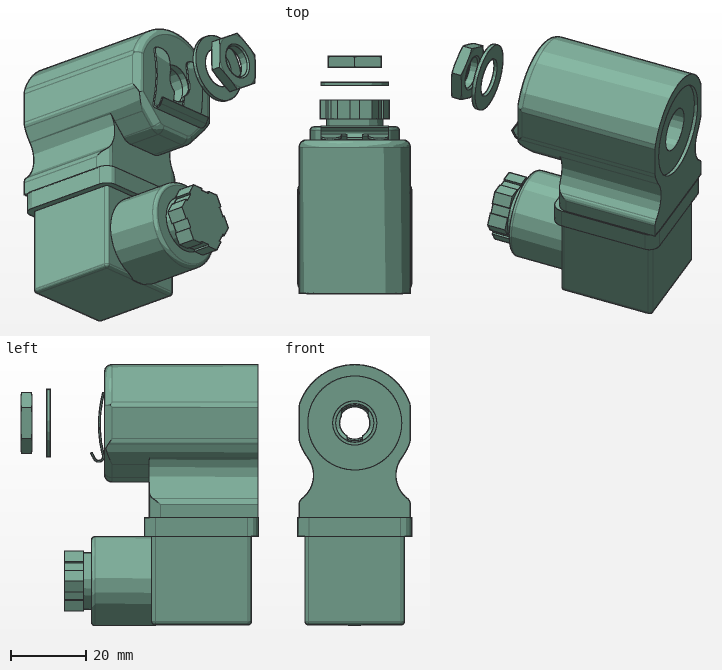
import cadquery as cq
import math


COIL_R = 15.55
BARREL_FLOOR_Z = -15.7
COIL_HALF_W = 14.8
COIL_FRONT_Y = 0.15
COIL_BACK_Y = 40.95
BARREL_CORNER_R = 4.0
BARREL_BACK_R = 2.0
RECESS_D = 25.0
RECESS_DEPTH = 1.0
BORE_D = 11.7
BORE_EXIT_D = 10.1
BORE_LIP = 2.0
NECK_BACK_Y = 29.1
WAIST_R = 7.8
WAIST_HALF_W = 10.95
NECK_CORNER_R = 2.0
NECK_BACK_R = 3.0
NECK_BOTTOM_Z = -25.1

FLANGE_W = 30.3
FLANGE_H = 5.0
FLANGE_CORNER_R = 3.0
BOX_W = 26.5
BOX_BOTTOM_Z = -53.65
BOX_EDGE_R = 1.0
OUTLET_R = 11.9
OUTLET_BACK_Y = 44.4
GLAND_NECK_D = 15.1
GLAND_FLATS = 15.95
GLAND_FRONT_Y = 46.5
GLAND_BACK_Y = 51.55
GLAND_GROOVE_W = 2.65
GLAND_GROOVE_DEPTH = 0.55

CLIP_W = 18.0
CLIP_T = 0.5
CLIP_TOP_Z = 8.05
CLIP_BOW_Z = -0.4
CLIP_BOW = 1.1
HOOK_R = 1.5
HOOK_TILT = 28.0
HOOK_END = 1.8
CLIP_HOLE_R = 3.99
CLIP_SLOT_W = 7.1
CLIP_NOTCH_W = 4.0
CLIP_NOTCH_Z = -9.4
CLIP_OUTER_R = 1.75
CLIP_INNER_R = 2.4

WASHER_D = 18.0
WASHER_HOLE_D = 10.3
WASHER_FRONT_Y = 55.3
WASHER_T = 1.0
NUT_FLATS = 14.1
NUT_H = 3.0
NUT_BACK_Y = 63.15
NUT_HOLE_D = 8.55
NUT_HOLE_MOUTH_D = 9.45
NUT_FACE_D = 14.6
NUT_CORNER_CHAMFER = 0.2

flange_bottom_z = NECK_BOTTOM_Z - FLANGE_H
connector_y = FLANGE_W / 2
outlet_z = flange_bottom_z - OUTLET_R


def profile_at(y):
    """Workplane with local x = X and local y = Z, set at the given y; negative extrusions go toward +Y."""
    return cq.Workplane(cq.Plane(origin=(0, y, 0), xDir=(1, 0, 0), normal=(0, -1, 0)))


def rod(diameter, y_start, y_end, z=0):
    """Cylinder along Y."""
    return profile_at(y_start).center(0, z).circle(diameter / 2).extrude(y_start - y_end)


def barrel_block():
    """Round on top, flat on the sides, underside and lower corners; its back edge is rounded."""
    side_z = math.sqrt(COIL_R**2 - COIL_HALF_W**2)
    corner_sum = COIL_R * math.sqrt(2)
    floor_x = corner_sum + BARREL_FLOOR_Z
    lower_z = COIL_HALF_W - corner_sum
    block = (
        profile_at(COIL_FRONT_Y)
        .moveTo(-COIL_HALF_W, side_z)
        .threePointArc((0, COIL_R), (COIL_HALF_W, side_z))
        .lineTo(COIL_HALF_W, lower_z)
        .lineTo(floor_x, BARREL_FLOOR_Z)
        .lineTo(-floor_x, BARREL_FLOOR_Z)
        .lineTo(-COIL_HALF_W, lower_z)
        .close()
        .extrude(COIL_FRONT_Y - COIL_BACK_Y)
    )
    floor_corners = block.faces("<Z").edges("|Y")
    return floor_corners.fillet(BARREL_CORNER_R).faces(">Y").edges().fillet(BARREL_BACK_R)


def barrel_envelope():
    """Cylinder with side flats rounded into it, left square where it clears the underside."""
    envelope = rod(2 * COIL_R, COIL_FRONT_Y, COIL_BACK_Y)
    length = COIL_BACK_Y - COIL_FRONT_Y
    slab = cq.Workplane("XY").box(2 * COIL_HALF_W, length, 4 * COIL_R)
    slab = slab.translate((0, COIL_FRONT_Y + length / 2, 0))
    envelope = envelope.intersect(slab)
    side_edges = envelope.edges("|Y").filter(lambda edge: abs(edge.Center().x) > COIL_HALF_W / 2)
    envelope = side_edges.fillet(BARREL_CORNER_R)
    tangent = COIL_R * math.sqrt(0.5)
    underside = slab.translate((0, 0, -tangent - 2 * COIL_R))
    return envelope.union(underside)


def coil_barrel():
    return barrel_block().intersect(barrel_envelope())


def coil_neck():
    """Foot under the barrel; its side hollows run tangent into the barrel."""
    hollow_x = WAIST_HALF_W + WAIST_R
    hollow_z = -math.sqrt((COIL_R + WAIST_R) ** 2 - hollow_x**2)
    tangent_x = hollow_x * COIL_R / (COIL_R + WAIST_R)
    tangent_z = hollow_z * COIL_R / (COIL_R + WAIST_R)
    corner_z = hollow_z - math.sqrt(WAIST_R**2 - (hollow_x - COIL_HALF_W) ** 2)
    neck = (
        profile_at(COIL_FRONT_Y)
        .moveTo(-tangent_x, tangent_z)
        .lineTo(tangent_x, tangent_z)
        .threePointArc((WAIST_HALF_W, hollow_z), (COIL_HALF_W, corner_z))
        .lineTo(COIL_HALF_W, NECK_BOTTOM_Z)
        .lineTo(-COIL_HALF_W, NECK_BOTTOM_Z)
        .lineTo(-COIL_HALF_W, corner_z)
        .threePointArc((-WAIST_HALF_W, hollow_z), (-tangent_x, tangent_z))
        .close()
        .extrude(COIL_FRONT_Y - NECK_BACK_Y)
    )
    side_corners = neck.edges("|Y").filter(
        lambda edge: abs(edge.Center().z - corner_z) < NECK_CORNER_R / 10
    )
    depth = NECK_BACK_Y - COIL_FRONT_Y
    envelope = cq.Workplane("XY", origin=(0, COIL_FRONT_Y + depth / 2, NECK_BOTTOM_Z))
    envelope = envelope.rect(2 * COIL_HALF_W, depth).extrude(-NECK_BOTTOM_Z)
    envelope = envelope.edges("|Z and >Y").fillet(NECK_BACK_R)
    return side_corners.fillet(NECK_CORNER_R).intersect(envelope)


def make_coil():
    coil = coil_barrel().union(coil_neck())
    coil = coil.cut(rod(RECESS_D, COIL_FRONT_Y, COIL_FRONT_Y + RECESS_DEPTH))
    coil = coil.cut(rod(BORE_D, COIL_FRONT_Y, COIL_BACK_Y - BORE_LIP))
    return coil.cut(rod(BORE_EXIT_D, COIL_FRONT_Y, COIL_BACK_Y))


def hexagon(flats, y_start, y_end):
    """Hexagonal prism along Y with corners on the local x axis."""
    corners_d = flats / math.cos(math.radians(30))
    return profile_at(y_start).polygon(6, corners_d).extrude(y_start - y_end)


def make_gland():
    gland = hexagon(GLAND_FLATS, GLAND_FRONT_Y, GLAND_BACK_Y)
    length = GLAND_BACK_Y - GLAND_FRONT_Y
    groove = cq.Workplane("XY").box(GLAND_GROOVE_W, length, 2 * GLAND_GROOVE_DEPTH)
    groove = groove.translate((0, GLAND_FRONT_Y + length / 2, GLAND_FLATS / 2))
    for side in range(6):
        gland = gland.cut(groove.rotate((0, 0, 0), (0, 1, 0), 60 * side))
    return gland.translate((0, 0, outlet_z))


def make_connector():
    flange = cq.Workplane("XY", origin=(0, connector_y, flange_bottom_z))
    flange = flange.rect(FLANGE_W, FLANGE_W).extrude(FLANGE_H).edges("|Z").fillet(FLANGE_CORNER_R)
    box = cq.Workplane("XY", origin=(0, connector_y, BOX_BOTTOM_Z))
    box = box.rect(BOX_W, BOX_W).extrude(flange_bottom_z - BOX_BOTTOM_Z)
    box = box.edges("|Z").fillet(BOX_EDGE_R).faces("<Z").edges().fillet(BOX_EDGE_R)
    outlet_front_y = connector_y + BOX_W / 2 - BOX_EDGE_R
    outlet = rod(2 * OUTLET_R, outlet_front_y, OUTLET_BACK_Y, outlet_z)
    outlet = outlet.faces(">Y").edges().fillet(BOX_EDGE_R)
    gland_neck = rod(GLAND_NECK_D, OUTLET_BACK_Y, GLAND_FRONT_Y, outlet_z)
    return flange.union(box).union(outlet).union(gland_neck).union(make_gland())


def clip_sheet():
    """Bowed strip with its hook, at full width."""
    hook_y = COIL_BACK_Y + HOOK_R
    hook_z = CLIP_BOW_Z - (CLIP_TOP_Z - CLIP_BOW_Z)
    lean = math.radians(HOOK_TILT)
    inner_r = HOOK_R - CLIP_T
    bow_y = COIL_BACK_Y + CLIP_BOW

    def on_hook(radius, along=0):
        """Point where the hook turns straight, or that far along its straight end."""
        y = hook_y + radius * math.cos(lean) + along * math.sin(lean)
        return (y, hook_z - radius * math.sin(lean) + along * math.cos(lean))

    return (
        cq.Workplane("YZ", origin=(-CLIP_W / 2, 0, 0))
        .moveTo(COIL_BACK_Y, CLIP_TOP_Z)
        .threePointArc((bow_y, CLIP_BOW_Z), (COIL_BACK_Y, hook_z))
        .threePointArc((hook_y, hook_z - HOOK_R), on_hook(HOOK_R))
        .lineTo(*on_hook(HOOK_R, HOOK_END))
        .lineTo(*on_hook(inner_r, HOOK_END))
        .lineTo(*on_hook(inner_r))
        .threePointArc((hook_y, hook_z - inner_r), (COIL_BACK_Y + CLIP_T, hook_z))
        .threePointArc((bow_y + CLIP_T, CLIP_BOW_Z), (COIL_BACK_Y + CLIP_T, CLIP_TOP_Z))
        .close()
        .extrude(CLIP_W)
    )


def clip_blank():
    """Flat fork outline of the clip, as a thick plate."""
    front_y = COIL_BACK_Y - CLIP_BOW
    back_y = COIL_BACK_Y + CLIP_W
    depth = front_y - back_y
    plate = profile_at(front_y).rect(CLIP_W, 2 * CLIP_TOP_Z).extrude(depth)
    slot = profile_at(front_y).center(0, CLIP_TOP_Z / 2).rect(CLIP_SLOT_W, CLIP_TOP_Z).extrude(depth)
    plate = plate.cut(slot)
    prong_corners = plate.faces(">Z").edges("|Y")
    plate = prong_corners.edges("<X or >X").fillet(CLIP_OUTER_R)
    inner_corners = plate.faces(">Z").edges("|Y").filter(lambda edge: abs(edge.Center().x) < CLIP_W / 4)
    plate = inner_corners.fillet(CLIP_INNER_R)
    notch = profile_at(front_y).center(0, CLIP_NOTCH_Z / 2)
    notch = notch.rect(CLIP_NOTCH_W, -CLIP_NOTCH_Z).extrude(front_y - COIL_BACK_Y - HOOK_R)
    lower_plate = profile_at(front_y).center(0, -CLIP_TOP_Z).rect(CLIP_W, 2 * CLIP_TOP_Z).extrude(depth)
    plate = plate.union(lower_plate.cut(slot))
    return plate.cut(rod(2 * CLIP_HOLE_R, front_y, back_y)).cut(notch)


def make_clip():
    return clip_sheet().intersect(clip_blank())


def make_washer():
    back_y = WASHER_FRONT_Y + WASHER_T
    return rod(WASHER_D, WASHER_FRONT_Y, back_y).cut(rod(WASHER_HOLE_D, WASHER_FRONT_Y, back_y))


def make_nut():
    """Hexagon nut with a corner at the top; both ends and both hole mouths are chamfered."""
    front_y = NUT_BACK_Y - NUT_H
    nut = hexagon(NUT_FLATS, front_y, NUT_BACK_Y).rotate((0, 0, 0), (0, 1, 0), 30)
    corner_r = NUT_FLATS / 2 / math.cos(math.radians(30))
    chamfer_width = corner_r - NUT_FACE_D / 2
    blank = rod(2 * corner_r, front_y, NUT_BACK_Y).faces("<Y or >Y")
    blank = blank.edges().chamfer(NUT_CORNER_CHAMFER, chamfer_width)
    nut = nut.intersect(blank).cut(rod(NUT_HOLE_D, front_y, NUT_BACK_Y))
    mouths = nut.faces("<Y or >Y").edges("%CIRCLE").edges(cq.selectors.RadiusNthSelector(0))
    return mouths.chamfer((NUT_HOLE_MOUTH_D - NUT_HOLE_D) / 2)


coil = make_coil()
connector = make_connector()
clip = make_clip()
washer = make_washer()
nut = make_nut()

result = cq.Compound.makeCompound([
    coil.val(),
    connector.val(),
    clip.val(),
    washer.val(),
    nut.val(),
])